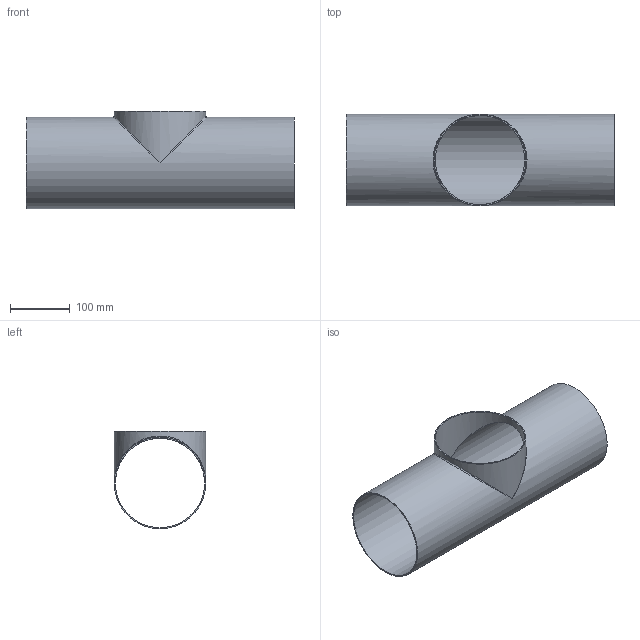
import cadquery as cq

outer_diameter = 154.0
wall = 2.0
run_length = 450.0
branch_stub = 10.0
joint_fillet = 2.0

outer_radius = outer_diameter / 2
inner_radius = outer_radius - wall
branch_height = outer_radius + branch_stub


def run_cylinder(radius):
    """Full-length cylinder on the run axis."""
    return cq.Workplane("YZ").circle(radius).extrude(run_length / 2, both=True)


def branch_cylinder(radius):
    """Cylinder from the run axis up to the branch mouth."""
    return cq.Workplane("XY").circle(radius).extrude(branch_height)


def tee_cylinders(radius):
    """Run and branch cylinders of one radius joined into a solid tee."""
    return run_cylinder(radius).union(branch_cylinder(radius))


def fillet_joint(tee):
    """Fillet the corner where equal cylinders meet in two half ellipses."""
    return tee.edges("%ELLIPSE").fillet(joint_fillet)


result = fillet_joint(tee_cylinders(outer_radius)).cut(tee_cylinders(inner_radius))